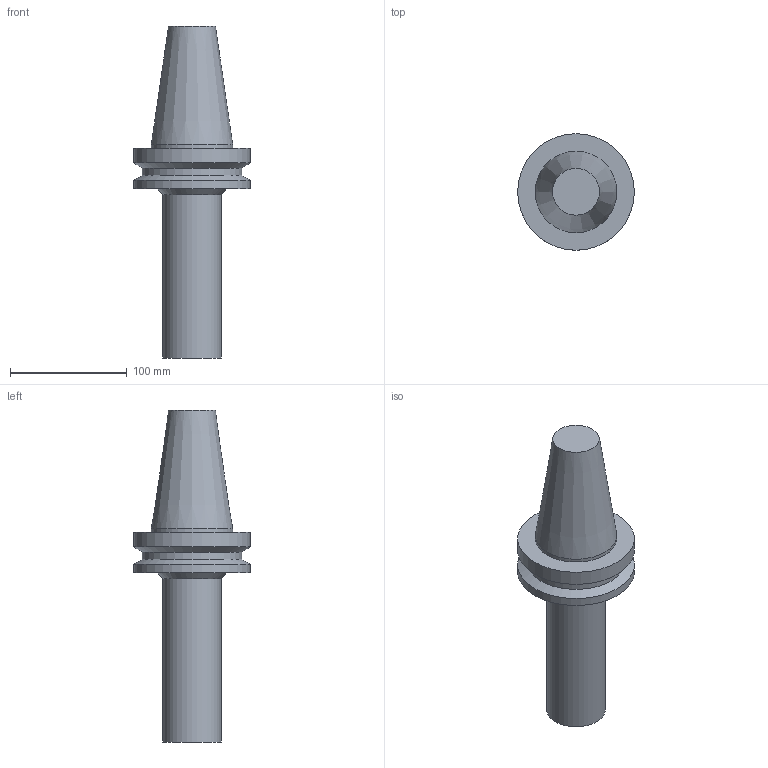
import cadquery as cq
import math


gauge_diameter = 69.85
taper_length = 101.8
taper_ratio = 7 / 24
tip_diameter = gauge_diameter - taper_ratio * taper_length

flange_diameter = 100.0
collar_height = 3.0
flange_height = 35.0
flange_top_z = -collar_height
flange_bottom_z = flange_top_z - flange_height

groove_center_z = -23.2
groove_floor_diameter = 85.0
groove_floor_width = 6.35
groove_wall_angle = 30.0
groove_depth = (flange_diameter - groove_floor_diameter) / 2
groove_mouth_width = groove_floor_width + 2 * groove_depth * math.tan(math.radians(groove_wall_angle))

shank_diameter = 50.0
shank_end_z = -183.0
shoulder_diameter = 60.0
shoulder_height = (shoulder_diameter - shank_diameter) / 2


def make_body():
    """Revolve the tapered plug, flange, shoulder and shank as one solid."""
    half_profile = [
        (0, taper_length),
        (tip_diameter / 2, taper_length),
        (gauge_diameter / 2, 0),
        (gauge_diameter / 2, flange_top_z),
        (flange_diameter / 2, flange_top_z),
        (flange_diameter / 2, flange_bottom_z),
        (shoulder_diameter / 2, flange_bottom_z),
        (shank_diameter / 2, flange_bottom_z - shoulder_height),
        (shank_diameter / 2, shank_end_z),
        (0, shank_end_z),
    ]
    return cq.Workplane("XZ").polyline(half_profile).close().revolve(360, (0, 0), (0, 1))


def make_groove_cutter():
    """Revolve the trapezoidal groove section that runs round the flange rim."""
    section = [
        (flange_diameter / 2, groove_center_z + groove_mouth_width / 2),
        (groove_floor_diameter / 2, groove_center_z + groove_floor_width / 2),
        (groove_floor_diameter / 2, groove_center_z - groove_floor_width / 2),
        (flange_diameter / 2, groove_center_z - groove_mouth_width / 2),
    ]
    return cq.Workplane("XZ").polyline(section).close().revolve(360, (0, 0), (0, 1))


result = make_body().cut(make_groove_cutter())